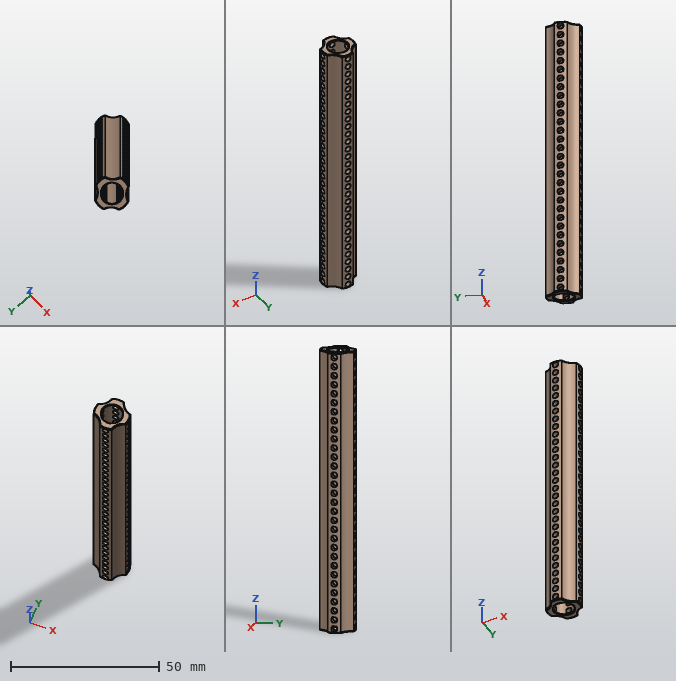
import cadquery as cq
import math

length = 96.9
outer_diameter = 12.5
bore_diameter = 7.2

lobe_count = 4
lobe_width = 4.5
flute_radius = 4.9

rim_depth = 0.4
outer_rim_inset = 0.3
bore_rim_inset = 0.24

hole_diameter = 2.0
hole_rows = 31
hole_pitch = length / hole_rows

outer_radius = outer_diameter / 2
bore_radius = bore_diameter / 2
lobe_spacing = 360 / lobe_count
half_lobe = math.degrees(math.asin(lobe_width / 2 / outer_radius))

half_gap = math.radians(lobe_spacing / 2 - half_lobe)
flute_half_chord = outer_radius * math.sin(half_gap)
flute_sagitta = flute_radius - math.sqrt(flute_radius**2 - flute_half_chord**2)
flute_floor_radius = outer_radius * math.cos(half_gap) - flute_sagitta


def polar(radius, degrees):
    """Point at the given radius and angle about the tube axis."""
    angle = math.radians(degrees)
    return (radius * math.cos(angle), radius * math.sin(angle))


def fluted_bar():
    """Solid bar with convex lobes, separated by concave flutes."""
    outline = cq.Workplane("XY").moveTo(*polar(outer_radius, -half_lobe))
    for index in range(lobe_count):
        lobe_middle = index * lobe_spacing
        flute_middle = lobe_middle + lobe_spacing / 2
        next_lobe_start = lobe_middle + lobe_spacing - half_lobe
        outline = outline.threePointArc(
            polar(outer_radius, lobe_middle),
            polar(outer_radius, lobe_middle + half_lobe),
        ).threePointArc(
            polar(flute_floor_radius, flute_middle),
            polar(outer_radius, next_lobe_start),
        )
    bar = outline.close().extrude(length)
    return bar.faces("<Z or >Z").edges().chamfer(rim_depth, outer_rim_inset)


def chamfered_bore():
    """Axial bore that flares out at both ends, as a solid of revolution."""
    rim_radius = bore_radius + bore_rim_inset
    half_section = [
        (0, 0),
        (rim_radius, 0),
        (bore_radius, rim_depth),
        (bore_radius, length - rim_depth),
        (rim_radius, length),
        (0, length),
    ]
    return cq.Workplane("XZ").polyline(half_section).close().revolve(360, (0, 0, 0), (0, 1, 0))


def cross_holes(plane):
    """One row of holes through the whole tube, along the normal of the plane."""
    centers = [(0, (row + 0.5) * hole_pitch) for row in range(hole_rows)]
    holes = cq.Workplane(plane).pushPoints(centers).circle(hole_diameter / 2)
    return holes.extrude(outer_radius, both=True)


result = fluted_bar().cut(chamfered_bore())
for plane in ("XZ", "YZ"):
    result = result.cut(cross_holes(plane))